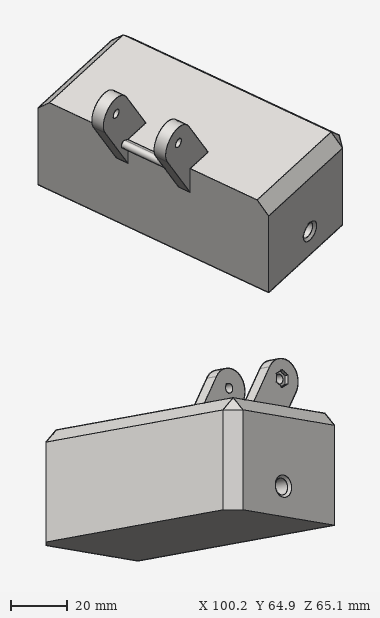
import cadquery as cq
import math

BLOCK_LENGTH = 100.2
BLOCK_DEPTH = 50.0
BLOCK_HEIGHT = 40.9
EDGE_CHAMFER = 5.0

BORE_DIAMETER = 6.0
COUNTERSINK_DIAMETER = 8.0
COUNTERSINK_DEPTH = 1.0
BORE_Y = 25.1
BORE_Z = 10.9

ARM_GAP = 22.0
ARM_THICKNESS = 5.0
ARM_RADIUS = 7.5
ARM_LEAN = math.radians(30)
FRONT_OVERHANG = 14.9
TOTAL_HEIGHT = 65.1
TIP_Y = ARM_RADIUS - FRONT_OVERHANG
TIP_Z = TOTAL_HEIGHT - ARM_RADIUS
ARM_REACH = 40.1

SCREW_HOLE_DIAMETER = 3.5
NUT_WIDTH = 5.5
NUT_POCKET_DEPTH = 1.5
SCREW_Y = -7.1
SCREW_Z = 57.9

LIP_RADIUS = 1.5
LIP_NOSE_Y = -2.5
LIP_NOSE_Z = 40.5
LIP_ROOT_Z = 36.5
LIP_ROOT_Y = 5.0


def make_block():
    block = cq.Workplane("XY").box(
        BLOCK_LENGTH, BLOCK_DEPTH, BLOCK_HEIGHT, centered=(True, False, False)
    )
    chamfered_edges = block.edges("(>Y and |Z) or (>Z and (not <Y))")
    return chamfered_edges.chamfer(EDGE_CHAMFER)


def make_arm(x_start):
    along = (-math.sin(ARM_LEAN), math.cos(ARM_LEAN))
    across = (math.cos(ARM_LEAN), math.sin(ARM_LEAN))

    def arm_point(distance_along, distance_across):
        return (
            TIP_Y + distance_along * along[0] + distance_across * across[0],
            TIP_Z + distance_along * along[1] + distance_across * across[1],
        )

    return (
        cq.Workplane("YZ", origin=(x_start, 0, 0))
        .moveTo(*arm_point(-ARM_REACH, -ARM_RADIUS))
        .lineTo(*arm_point(0, -ARM_RADIUS))
        .threePointArc(arm_point(ARM_RADIUS, 0), arm_point(0, ARM_RADIUS))
        .lineTo(*arm_point(-ARM_REACH, ARM_RADIUS))
        .close()
        .extrude(ARM_THICKNESS)
    )


def nose_tangent_angle(z_start, side):
    """Angle on the nose circle where the line from (0, z_start) touches it."""
    dy = -LIP_NOSE_Y
    dz = z_start - LIP_NOSE_Z
    return math.atan2(dz, dy) + side * math.acos(LIP_RADIUS / math.hypot(dy, dz))


def nose_point(angle):
    return (
        LIP_NOSE_Y + LIP_RADIUS * math.cos(angle),
        LIP_NOSE_Z + LIP_RADIUS * math.sin(angle),
    )


def make_lip():
    upper_angle = nose_tangent_angle(BLOCK_HEIGHT, 1)
    lower_angle = nose_tangent_angle(LIP_ROOT_Z, -1) + 2 * math.pi
    middle_angle = (upper_angle + lower_angle) / 2
    return (
        cq.Workplane("YZ", origin=(-ARM_GAP / 2, 0, 0))
        .moveTo(LIP_ROOT_Y, LIP_ROOT_Z)
        .lineTo(LIP_ROOT_Y, BLOCK_HEIGHT)
        .lineTo(0, BLOCK_HEIGHT)
        .lineTo(*nose_point(upper_angle))
        .threePointArc(nose_point(middle_angle), nose_point(lower_angle))
        .lineTo(0, LIP_ROOT_Z)
        .close()
        .extrude(ARM_GAP)
    )


def make_bore():
    bore = (
        cq.Workplane("YZ", origin=(-BLOCK_LENGTH / 2, BORE_Y, BORE_Z))
        .circle(BORE_DIAMETER / 2)
        .extrude(BLOCK_LENGTH)
    )
    for side in (-1, 1):
        countersink = cq.Solid.makeCone(
            COUNTERSINK_DIAMETER / 2,
            BORE_DIAMETER / 2,
            COUNTERSINK_DEPTH,
            pnt=cq.Vector(side * BLOCK_LENGTH / 2, BORE_Y, BORE_Z),
            dir=cq.Vector(-side, 0, 0),
        )
        bore = bore.union(cq.Workplane(countersink))
    return bore


def make_screw_hole():
    arms_width = ARM_GAP + 2 * ARM_THICKNESS
    start = cq.Workplane("YZ", origin=(-arms_width / 2, SCREW_Y, SCREW_Z))
    hole = start.circle(SCREW_HOLE_DIAMETER / 2).extrude(arms_width)
    nut_corner_diameter = NUT_WIDTH / math.cos(math.pi / 6)
    nut_pocket = (
        start.transformed(rotate=(0, 0, 90))
        .polygon(6, nut_corner_diameter)
        .extrude(NUT_POCKET_DEPTH)
    )
    return hole.union(nut_pocket)


result = make_block().union(make_lip())
for arm_start in (-ARM_GAP / 2 - ARM_THICKNESS, ARM_GAP / 2):
    result = result.union(make_arm(arm_start))
result = result.cut(make_bore()).cut(make_screw_hole())